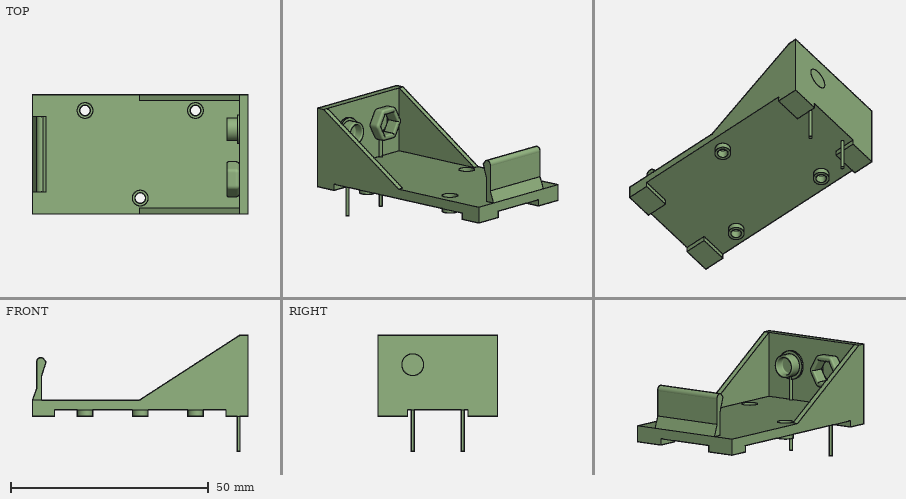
import cadquery as cq
import math

LENGTH = 54.5
WIDTH = 30.2
PLATE_THICKNESS = 2.5
MID_X = LENGTH / 2
MID_Y = WIDTH / 2

FOOT_LENGTH = 5.6
FOOT_WIDTH = 7.45
FOOT_HEIGHT = 1.65
BOSS_DIAMETER = 4.0
SCREW_DIAMETER = 2.6
COUNTERBORE_DEPTH = 1.5
SCREW_SPACING = 13.95
SCREW_EDGE_DISTANCE = 4.05

WALL_HEIGHT = 16.4
WALL_THICKNESS = 2.1
WALL_X = LENGTH - WALL_THICKNESS
GUSSET_START_X = 27.05
GUSSET_THICKNESS = 1.45

CLIP_WIDTH = 18.95
CLIP_BACK_X = 1.1
CLIP_FRONT_X = 2.35
CLIP_FOOT_HEIGHT = 3.0
CLIP_ARC_START_Z = 9.4
CLIP_ARC_MIDDLE = (1.8, 10.7)
CLIP_ARC_END = (2.65, 10.65)
CLIP_NOSE = (3.5, 9.65)
CLIP_NECK_Z = 6.05

TERMINAL_Z = 8.95
TERMINAL_OFFSET = 6.3
TERMINAL_DEPTH = 3.25
TERMINAL_FRONT_X = WALL_X - TERMINAL_DEPTH
ROUND_TERMINAL_Y = MID_Y + TERMINAL_OFFSET
HEX_TERMINAL_Y = MID_Y - TERMINAL_OFFSET

FLANGE_DIAMETER = 7.3
FLANGE_THICKNESS = 0.55
CUP_DIAMETER = 5.8
CUP_BORE = 4.5
CUP_BORE_DEPTH = 2.35
CUP_RIM_FILLET = 0.25
CUP_FLOOR_FILLET = 0.25

HEX_SIDES = 6
HEX_ACROSS_FLATS = 8.0
HEX_SOCKET_ACROSS_FLATS = 5.5
HEX_CORNER_RADIUS = 1.1
HEX_BACK_FILLET = 1.05
HEX_OUTER_RIM_FILLET = 0.55
HEX_INNER_RIM_FILLET = 0.4
PLUG_DIAMETER = HEX_SOCKET_ACROSS_FLATS

PIN_DIAMETER = 0.8
PIN_X = 52.1
PIN_TOP_Z = 6.65
PIN_BELOW_FEET = 8.85
PIN_BOTTOM_Z = -(PLATE_THICKNESS + FOOT_HEIGHT + PIN_BELOW_FEET)


def block(x, y, z, length, width, height):
    """Box from its lowest corner and its sizes."""
    return cq.Workplane("XY").box(length, width, height, centered=False).translate((x, y, z))


def upright_cylinder(x, y, bottom, top, diameter):
    return cq.Workplane("XY", origin=(x, y, bottom)).circle(diameter / 2).extrude(top - bottom)


def wall_plane(x, y):
    """Plane facing +X, centred on the terminal axis at the given Y."""
    return cq.Workplane("YZ", origin=(x, y, TERMINAL_Z))


def side_extrusion(profile, y, width):
    """Extrude an XZ profile toward +Y, starting at the given Y."""
    return profile.extrude(-width).translate((0, y, 0))


def make_pin(y):
    return upright_cylinder(PIN_X, y, PIN_BOTTOM_Z, PIN_TOP_Z, PIN_DIAMETER)


def make_clip():
    profile = (
        cq.Workplane("XZ")
        .moveTo(0, 0)
        .lineTo(CLIP_BACK_X, CLIP_FOOT_HEIGHT)
        .lineTo(CLIP_BACK_X, CLIP_ARC_START_Z)
        .threePointArc(CLIP_ARC_MIDDLE, CLIP_ARC_END)
        .lineTo(*CLIP_NOSE)
        .lineTo(CLIP_FRONT_X, CLIP_NECK_Z)
        .lineTo(CLIP_FRONT_X, 0)
        .close()
    )
    return side_extrusion(profile, MID_Y - CLIP_WIDTH / 2, CLIP_WIDTH)


def make_gusset(y):
    profile = cq.Workplane("XZ").polyline(
        [(GUSSET_START_X, 0), (WALL_X, WALL_HEIGHT), (WALL_X, 0)]
    ).close()
    return side_extrusion(profile, y, GUSSET_THICKNESS)


def make_housing():
    plate_bottom = -PLATE_THICKNESS
    foot_bottom = plate_bottom - FOOT_HEIGHT
    body = block(0, 0, plate_bottom, LENGTH, WIDTH, PLATE_THICKNESS)
    body = body.union(block(WALL_X, 0, 0, WALL_THICKNESS, WIDTH, WALL_HEIGHT))
    for y in (0, WIDTH - GUSSET_THICKNESS):
        body = body.union(make_gusset(y))
    body = body.union(make_clip())

    for x in (0, LENGTH - FOOT_LENGTH):
        for y in (0, WIDTH - FOOT_WIDTH):
            body = body.union(block(x, y, foot_bottom, FOOT_LENGTH, FOOT_WIDTH, FOOT_HEIGHT))

    far_y = WIDTH - SCREW_EDGE_DISTANCE
    screw_points = [
        (MID_X - SCREW_SPACING, far_y),
        (MID_X + SCREW_SPACING, far_y),
        (MID_X, SCREW_EDGE_DISTANCE),
    ]
    for x, y in screw_points:
        body = body.union(upright_cylinder(x, y, foot_bottom, plate_bottom, BOSS_DIAMETER))
        body = body.cut(upright_cylinder(x, y, foot_bottom, 0, SCREW_DIAMETER))
        body = body.cut(upright_cylinder(x, y, -COUNTERBORE_DEPTH, 0, BOSS_DIAMETER))
    return body


def make_round_terminal(y):
    """Flanged cup, open toward -X, with a rounded rim."""
    cup = wall_plane(TERMINAL_FRONT_X, y).circle(CUP_DIAMETER / 2).extrude(TERMINAL_DEPTH)
    bore = wall_plane(TERMINAL_FRONT_X, y).circle(CUP_BORE / 2).extrude(CUP_BORE_DEPTH)
    cup = cup.cut(bore.faces(">X").edges().fillet(CUP_FLOOR_FILLET))
    cup = cup.faces("<X").edges().fillet(CUP_RIM_FILLET)
    flange = wall_plane(WALL_X - FLANGE_THICKNESS, y).circle(FLANGE_DIAMETER / 2)
    return cup.union(flange.extrude(FLANGE_THICKNESS))


def hexagon(x, y, across_flats):
    """Hexagon sketch with flats at the top and bottom."""
    return wall_plane(x, y).polygon(HEX_SIDES, across_flats / math.cos(math.pi / HEX_SIDES))


def make_hex_terminal(y):
    """Hexagonal sleeve with rounded rims."""
    body = hexagon(TERMINAL_FRONT_X, y, HEX_ACROSS_FLATS).extrude(TERMINAL_DEPTH)
    body = body.edges("|X").fillet(HEX_CORNER_RADIUS)
    body = body.faces(">X").edges().fillet(HEX_BACK_FILLET)
    body = body.faces("<X").edges().fillet(HEX_OUTER_RIM_FILLET)
    body = body.cut(hexagon(TERMINAL_FRONT_X, y, HEX_SOCKET_ACROSS_FLATS).extrude(TERMINAL_DEPTH))
    inner_rim = body.faces("<X").val().innerWires()[0]
    return body.newObject(inner_rim.Edges()).fillet(HEX_INNER_RIM_FILLET)


def make_plug(y):
    """Round plug through the wall, closing the hexagonal sleeve flush with the inner wall face."""
    return wall_plane(WALL_X, y).circle(PLUG_DIAMETER / 2).extrude(WALL_THICKNESS)


pins = [make_pin(y) for y in (ROUND_TERMINAL_Y, HEX_TERMINAL_Y)]
round_terminal = make_round_terminal(ROUND_TERMINAL_Y)
hex_terminal = make_hex_terminal(HEX_TERMINAL_Y)
plug = make_plug(HEX_TERMINAL_Y)
housing = make_housing().cut(plug)

for pin in pins:
    housing = housing.cut(pin)
    round_terminal = round_terminal.cut(pin)
    hex_terminal = hex_terminal.cut(pin)
    plug = plug.cut(pin)

result = cq.Compound.makeCompound(
    [
        housing.val(),
        round_terminal.val(),
        hex_terminal.val(),
        plug.val(),
        *[pin.val() for pin in pins],
    ]
)